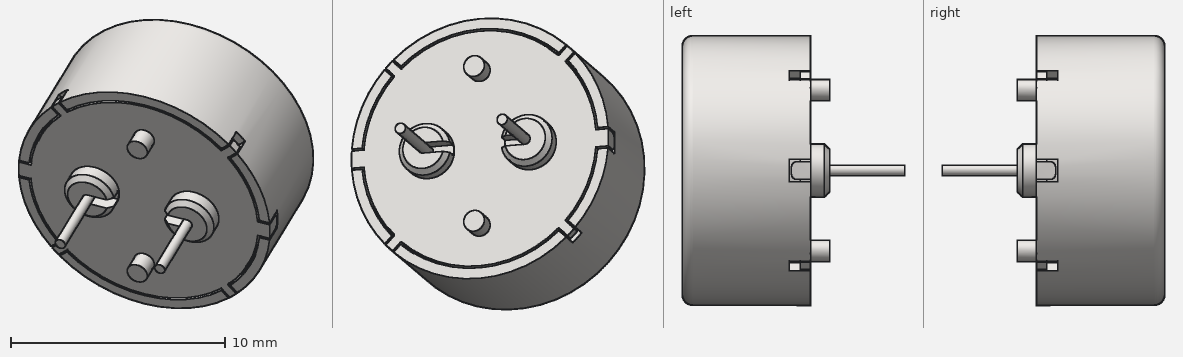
import cadquery as cq


case_radius = 6.3
case_depth = 6.0
back_fillet = 0.5
wall = 0.5
bore_radius = case_radius - wall

plate_thickness = 0.49
edge_gap = 0.1
plate_radius = bore_radius - edge_gap

slot_depth = 1.0
side_tab_width = 0.83
side_tab_depth = slot_depth - edge_gap
side_tab_corner = 0.25
side_tab_angles = (0, 180)
diagonal_tab_width = 0.47
diagonal_tab_gap = 0.08
diagonal_tab_angles = (45, 135, 225, 315)

standoff_height = 0.9
boss_radius = 1.25
boss_chamfer = 0.25
boss_offset = 2.5
peg_radius = 0.5
peg_offset = 3.75

pin_radius = 0.25
pin_tip = 4.4
boss_slot_floor = 0.1


def cylinder(radius, y_start, y_end, x=0.0, z=0.0):
    """Cylinder along Y between two Y positions."""
    start = cq.Vector(x, y_start, z)
    solid = cq.Solid.makeCylinder(radius, y_end - y_start, start, cq.Vector(0, 1, 0))
    return cq.Workplane(obj=solid)


def radial_bar(width, depth, angle, corner=0.0):
    """Bar from the housing axis past the rim, sunk from y = 0; corner rounds its two deep edges."""
    bar = cq.Workplane("XY").box(2 * case_radius, depth, width, centered=(False, False, True))
    if corner:
        bar = bar.faces(">Y").edges("|X").fillet(corner)
    return bar.rotate((0, 0, 0), (0, 1, 0), angle)


def make_case():
    case = cylinder(case_radius, 0, case_depth).faces(">Y").edges().fillet(back_fillet)
    case = case.cut(cylinder(bore_radius, 0, plate_thickness))
    wall_ring = cylinder(case_radius, 0, slot_depth).cut(cylinder(bore_radius, 0, slot_depth))
    side_slot_width = side_tab_width + 2 * edge_gap
    diagonal_slot_width = diagonal_tab_width + 2 * diagonal_tab_gap
    for width, angles in ((side_slot_width, side_tab_angles), (diagonal_slot_width, diagonal_tab_angles)):
        for angle in angles:
            slot = radial_bar(width, slot_depth, angle)
            case = case.cut(slot.intersect(wall_ring))
    return case


def make_base_plate():
    plate = cylinder(plate_radius, 0, plate_thickness)
    rim = cylinder(case_radius, 0, slot_depth)
    for angle in diagonal_tab_angles:
        tab = radial_bar(diagonal_tab_width, plate_thickness, angle)
        plate = plate.union(tab.intersect(rim))
    side_ring = rim.cut(cylinder(bore_radius, plate_thickness, slot_depth))
    for angle in side_tab_angles:
        tab = radial_bar(side_tab_width, side_tab_depth, angle, side_tab_corner)
        plate = plate.union(tab.intersect(side_ring))
    return plate


def make_boss(side):
    """Chamfered boss with a slot that runs from the pin towards the housing axis."""
    x = side * boss_offset
    boss = cylinder(boss_radius, -standoff_height, 0, x).faces("<Y").edges().chamfer(boss_chamfer)
    slot_height = standoff_height - boss_slot_floor
    channel = (
        cq.Workplane("XY")
        .box(boss_radius, slot_height, 2 * pin_radius)
        .translate((x - side * boss_radius / 2, -boss_slot_floor - slot_height / 2, 0))
    )
    round_end = cylinder(pin_radius, -standoff_height, -boss_slot_floor, x)
    return boss.cut(channel.union(round_end))


def make_housing():
    """Case and base plate with its standoffs, as one solid."""
    housing = make_case().union(make_base_plate())
    for side in (-1, 1):
        housing = housing.union(make_boss(side))
        housing = housing.union(cylinder(peg_radius, -standoff_height, 0, z=side * peg_offset))
    return housing


def make_pin(side):
    """Straight pin standing on the floor of its boss slot."""
    return cylinder(pin_radius, -pin_tip, -boss_slot_floor, side * boss_offset)


housing = make_housing()
pins = [make_pin(side) for side in (-1, 1)]

result = cq.Compound.makeCompound([housing.solids().val(), *[pin.val() for pin in pins]])